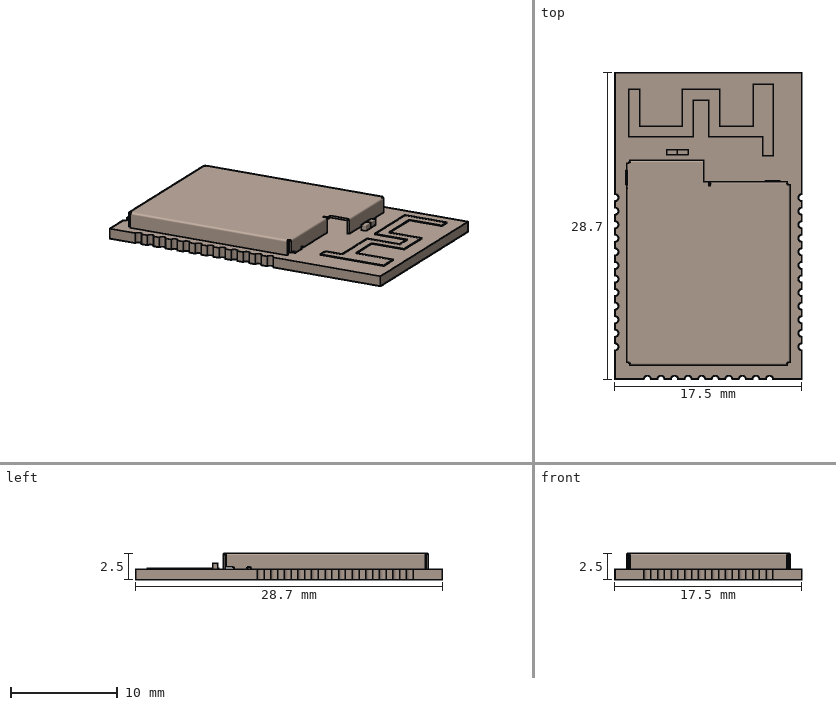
import cadquery as cq

BOARD_WIDTH = 17.5
BOARD_LENGTH = 28.7
BOARD_THICKNESS = 1.0
BOARD_RIGHT = BOARD_WIDTH / 2
BOARD_BACK = BOARD_LENGTH / 2
BOARD_FRONT = -BOARD_BACK

PAD_PITCH = 1.27
PAD_RADIUS = 0.32
SIDE_PAD_COUNT = 12
FRONT_PAD_COUNT = 10
FIRST_SIDE_PAD_Y = BOARD_FRONT + 3.03

TRACE_WIDTH = 1.0
TRACE_THICKNESS = 0.08
TRACE_LEFT = -7.45
TRACE_BASE_Y = BOARD_BACK - 6.02
ARM_BACK_Y = BOARD_BACK - 1.58
LOOP_LEFT = -2.43
LOOP_RIGHT = 1.05
FEED_LEFT = 4.18
FEED_RIGHT = 6.07
FEED_BACK_Y = BOARD_BACK - 1.08
FEED_FRONT_Y = BOARD_BACK - 7.79

CHIP_LENGTH = 1.0
CHIP_WIDTH = 0.5
CHIP_HEIGHT = 0.56
CHIP_EDGE_RADIUS = 0.05
CHIP_PAIR_X = -2.91
CHIP_Y = BOARD_BACK - 7.45

SHEET = 0.2
SHIELD_HEIGHT = 1.5
SHIELD_RIGHT = 7.64
SHIELD_LEFT = -SHIELD_RIGHT
SHIELD_FRONT = BOARD_FRONT + 1.3
SHIELD_BACK = BOARD_BACK - 8.2
STEP_X = -0.43
STEP_Y = SHIELD_BACK - 2.0
CORNER_INSET = 0.28
SLIT_WIDTH = 0.12
SLIT_DEPTH = 0.4
SLIT_X = STEP_X + 0.48

TAB_WIDTH = 1.2
TAB_FROM_WALL_END = 0.75
TAB_DEPTH = BOARD_THICKNESS
RELIEF_RADIUS = 0.2
SLOT_CLEARANCE = 0.06

SIDE_WALL_FRONT = SHIELD_FRONT + CORNER_INSET
LEFT_WALL_LENGTH = SHIELD_BACK - CORNER_INSET - SIDE_WALL_FRONT
RIGHT_WALL_BACK = STEP_Y - CORNER_INSET
END_WALL_LEFT = SHIELD_LEFT + CORNER_INSET
END_WALL_RIGHT = SHIELD_RIGHT - CORNER_INSET
STEP_WALL_LEFT = SLIT_X + SLIT_WIDTH
STEP_WALL_LENGTH = END_WALL_RIGHT - STEP_WALL_LEFT


def place(local_shape, angle, start_x, start_y):
    """Turn a shape from the wall frame (run along X, outward +Y) and seat it on the board."""
    turned = local_shape.rotate((0, 0, 0), (0, 0, 1), angle)
    return turned.translate((start_x, start_y, BOARD_THICKNESS))


def place_left_wall(local_shape):
    return place(local_shape, 90, SHIELD_LEFT, SIDE_WALL_FRONT)


def place_step_wall(local_shape):
    return place(local_shape, 0, STEP_WALL_LEFT, STEP_Y)


def box(x_min, x_max, y_min, y_max, z_min, z_max):
    size = (x_max - x_min, y_max - y_min, z_max - z_min)
    return cq.Workplane("XY").box(*size, centered=False).translate((x_min, y_min, z_min))



def castellations():
    side_x = [-BOARD_RIGHT, BOARD_RIGHT]
    points = [(x, FIRST_SIDE_PAD_Y + i * PAD_PITCH) for x in side_x for i in range(SIDE_PAD_COUNT)]
    middle = (FRONT_PAD_COUNT - 1) / 2
    points += [((i - middle) * PAD_PITCH, BOARD_FRONT) for i in range(FRONT_PAD_COUNT)]
    return cq.Workplane("XY").pushPoints(points).circle(PAD_RADIUS).extrude(BOARD_THICKNESS)


def antenna():
    base_back_y = TRACE_BASE_Y + TRACE_WIDTH
    loop_inner_left = LOOP_LEFT + TRACE_WIDTH
    loop_inner_right = LOOP_RIGHT - TRACE_WIDTH
    loop_inner_y = ARM_BACK_Y - TRACE_WIDTH
    outline = [
        (TRACE_LEFT, TRACE_BASE_Y),
        (TRACE_LEFT, ARM_BACK_Y),
        (TRACE_LEFT + TRACE_WIDTH, ARM_BACK_Y),
        (TRACE_LEFT + TRACE_WIDTH, base_back_y),
        (LOOP_LEFT, base_back_y),
        (LOOP_LEFT, ARM_BACK_Y),
        (LOOP_RIGHT, ARM_BACK_Y),
        (LOOP_RIGHT, base_back_y),
        (FEED_LEFT, base_back_y),
        (FEED_LEFT, FEED_BACK_Y),
        (FEED_RIGHT, FEED_BACK_Y),
        (FEED_RIGHT, FEED_FRONT_Y),
        (FEED_RIGHT - TRACE_WIDTH, FEED_FRONT_Y),
        (FEED_RIGHT - TRACE_WIDTH, TRACE_BASE_Y),
        (loop_inner_right, TRACE_BASE_Y),
        (loop_inner_right, loop_inner_y),
        (loop_inner_left, loop_inner_y),
        (loop_inner_left, TRACE_BASE_Y),
    ]
    plane = cq.Workplane("XY").workplane(offset=BOARD_THICKNESS)
    return plane.polyline(outline).close().extrude(TRACE_THICKNESS)


def chip(center_x):
    block = cq.Workplane("XY").box(CHIP_LENGTH, CHIP_WIDTH, CHIP_HEIGHT, centered=(True, True, False))
    rounded = block.edges("|Z or >Z").fillet(CHIP_EDGE_RADIUS)
    return rounded.translate((center_x, CHIP_Y, BOARD_THICKNESS))


def tab_slot(wall_length):
    """Slot around a tab, in the wall frame, through the board."""
    tab_end = wall_length - TAB_FROM_WALL_END
    return box(
        tab_end - TAB_WIDTH - SLOT_CLEARANCE, tab_end + SLOT_CLEARANCE,
        -SHEET - SLOT_CLEARANCE, SLOT_CLEARANCE,
        -BOARD_THICKNESS, 0,
    )


def make_board():
    body = cq.Workplane("XY").box(BOARD_WIDTH, BOARD_LENGTH, BOARD_THICKNESS, centered=(True, True, False))
    body = body.cut(castellations())
    body = body.cut(place_left_wall(tab_slot(LEFT_WALL_LENGTH)))
    body = body.cut(place_step_wall(tab_slot(STEP_WALL_LENGTH)))
    body = body.union(antenna())
    for side in (-1, 1):
        body = body.union(chip(CHIP_PAIR_X + side * CHIP_LENGTH / 2))
    return body



def wall(length):
    """Plain wall with its rounded bend, in the wall frame with the outer face at Y = 0."""
    profile = (
        cq.Workplane("YZ")
        .lineTo(0, SHIELD_HEIGHT - SHEET)
        .radiusArc((-SHEET, SHIELD_HEIGHT), -SHEET)
        .lineTo(-SHEET, 0)
        .close()
    )
    return profile.extrude(length)


def tabbed_wall(length):
    """Wall with a tab reaching into the board and a relief on each side of the tab."""
    tab_end = length - TAB_FROM_WALL_END
    tab_start = tab_end - TAB_WIDTH
    relief_x = [tab_start - RELIEF_RADIUS, tab_end + RELIEF_RADIUS]
    reliefs = (
        cq.Workplane("XZ")
        .pushPoints([(x, 0) for x in relief_x])
        .circle(RELIEF_RADIUS)
        .extrude(SHEET)
    )
    corner_lift = box(relief_x[1], length, -SHEET, 0, 0, RELIEF_RADIUS)
    tab = box(tab_start, tab_end, -SHEET, 0, -TAB_DEPTH, 0)
    return wall(length).cut(reliefs).cut(corner_lift).union(tab)


def top_plate():
    left = SHIELD_LEFT + SHEET
    right = SHIELD_RIGHT - SHEET
    front = SHIELD_FRONT + SHEET
    step_bend_y = STEP_Y - SHEET
    outline = [
        (left, front),
        (right, front),
        (right, step_bend_y),
        (SLIT_X, step_bend_y),
        (SLIT_X, STEP_Y),
        (STEP_X, STEP_Y),
        (STEP_X, SHIELD_BACK - SHEET),
        (left, SHIELD_BACK - SHEET),
    ]
    under_z = BOARD_THICKNESS + SHIELD_HEIGHT - SHEET
    plate = cq.Workplane("XY").workplane(offset=under_z).polyline(outline).close().extrude(SHEET)
    slit = box(SLIT_X, SLIT_X + SLIT_WIDTH, STEP_Y - SLIT_DEPTH, STEP_Y, under_z, under_z + SHEET)
    return plate.cut(slit)


def make_shield():
    front_wall = wall(END_WALL_RIGHT - END_WALL_LEFT)
    right_wall = wall(RIGHT_WALL_BACK - SIDE_WALL_FRONT)
    back_wall = wall(STEP_X - END_WALL_LEFT)
    walls = [
        place_left_wall(tabbed_wall(LEFT_WALL_LENGTH)),
        place_step_wall(tabbed_wall(STEP_WALL_LENGTH)),
        place(back_wall, 0, END_WALL_LEFT, SHIELD_BACK),
        place(front_wall, 180, END_WALL_RIGHT, SHIELD_FRONT),
        place(right_wall, -90, SHIELD_RIGHT, RIGHT_WALL_BACK),
    ]
    body = top_plate()
    for each_wall in walls:
        body = body.union(each_wall)
    return body


board = make_board()
shield = make_shield()
result = cq.Compound.makeCompound([board.val(), shield.val()])